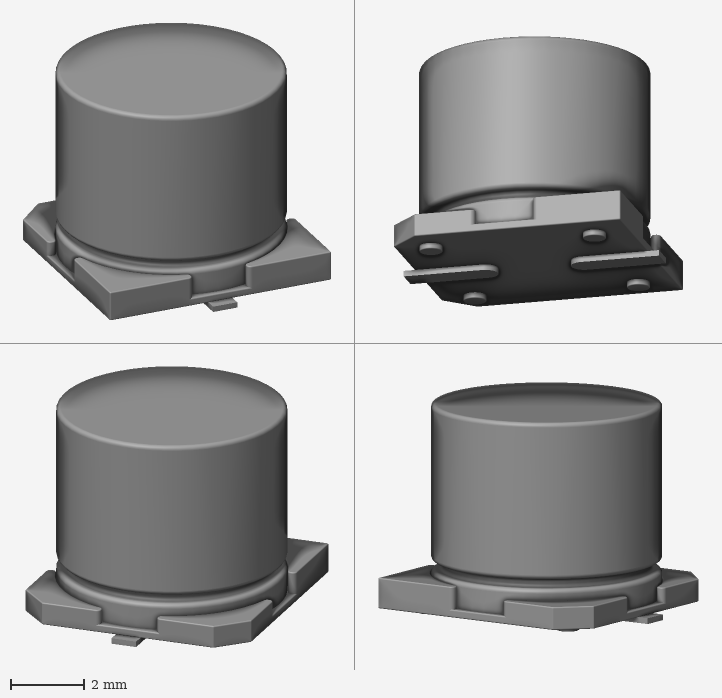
import cadquery as cq
import math

can_radius = 6.3 / 2
neck_radius = 5.67 / 2
can_top = 5.7
rim_radius = 0.12
groove_center = 1.24
neck_land_height = 0.065
bead_radius = 0.13
groove_fillet = 0.09

base_width = 6.6
base_bottom = 0.16
floor_top = 0.375
low_lug_top = 0.79
high_lug_top = 1.0
corner_chamfer = 0.8
window_width = 1.64
lug_bore_radius = 3.17
lug_end_radius = 0.12
edge_radius = 0.035

terminal_span = 7.2
terminal_width = 0.72
terminal_gap = 2.07
foot_diameter = 0.63
foot_spacing = 4.61
foot_edge_radius = 0.03


def arc_point(center, radius, angle):
    """Point on a circle of the (radius, height) plane at an angle in degrees."""
    turn = math.radians(angle)
    return (center[0] + radius * math.cos(turn), center[1] + radius * math.sin(turn))


def make_can():
    land_bottom = groove_center - neck_land_height / 2
    land_top = groove_center + neck_land_height / 2
    lower_wall = land_bottom - groove_fillet
    upper_wall = land_top + groove_fillet
    lower_bead = (can_radius - bead_radius, lower_wall - bead_radius)
    upper_bead = (can_radius - bead_radius, upper_wall + bead_radius)
    lower_fillet = (neck_radius + groove_fillet, land_bottom)
    upper_fillet = (neck_radius + groove_fillet, land_top)
    can_bottom = base_bottom + edge_radius
    rim = (can_radius - rim_radius, can_top - rim_radius)
    return (
        cq.Workplane("XZ")
        .moveTo(0, can_bottom)
        .lineTo(can_radius, can_bottom)
        .lineTo(can_radius, lower_bead[1])
        .threePointArc(arc_point(lower_bead, bead_radius, 45), (lower_bead[0], lower_wall))
        .lineTo(lower_fillet[0], lower_wall)
        .threePointArc(arc_point(lower_fillet, groove_fillet, 225), (neck_radius, land_bottom))
        .lineTo(neck_radius, land_top)
        .threePointArc(arc_point(upper_fillet, groove_fillet, 135), (upper_fillet[0], upper_wall))
        .lineTo(upper_bead[0], upper_wall)
        .threePointArc(arc_point(upper_bead, bead_radius, -45), (can_radius, upper_bead[1]))
        .lineTo(can_radius, rim[1])
        .threePointArc(arc_point(rim, rim_radius, 45), (rim[0], can_top))
        .lineTo(0, can_top)
        .close()
        .revolve(360, (0, 0, 0), (0, 1, 0))
    )


def square_plan(bottom, height):
    """Square prism with both -X corners cut off and all upright corners slightly rounded."""
    return (
        cq.Workplane("XY", origin=(0, 0, bottom))
        .rect(base_width, base_width)
        .extrude(height)
        .edges("|Z and <X")
        .chamfer(corner_chamfer)
        .edges("|Z")
        .fillet(edge_radius)
    )


def make_floor():
    """Thin slab under the can, rounded along its top and bottom edges."""
    slab = square_plan(base_bottom, floor_top - base_bottom)
    return slab.faces("<Z or >Z").edges().fillet(edge_radius)


def make_lug(x_side, y_side, top):
    """Corner lug hugging the can, with rounded ends beside the windows."""
    bottom = base_bottom + edge_radius
    height = top - bottom
    quadrant = (
        cq.Workplane("XY", origin=(0, 0, bottom))
        .moveTo(x_side * window_width / 2, y_side * window_width / 2)
        .rect(x_side * base_width, y_side * base_width, centered=False)
        .extrude(height)
    )
    bore = cq.Workplane("XY", origin=(0, 0, bottom)).circle(lug_bore_radius).extrude(height)
    lug = square_plan(bottom, height).intersect(quadrant).cut(bore)

    end_edges = lug.edges("|Z").filter(
        lambda edge: min(abs(edge.Center().x), abs(edge.Center().y)) < window_width / 2 + edge_radius
    )
    lug = lug.newObject(end_edges.vals()).fillet(lug_end_radius)
    return lug.faces(">Z").edges().fillet(edge_radius)


def make_base():
    base = make_floor()
    for x_side, top in ((-1, low_lug_top), (1, high_lug_top)):
        for y_side in (-1, 1):
            base = base.union(make_lug(x_side, y_side, top))
    return base


def make_terminal(side):
    """Flat lead along X with a round inner end, reaching past the base edge."""
    end_radius = terminal_width / 2
    arc_x = terminal_gap / 2 + end_radius
    return (
        cq.Workplane("XY")
        .moveTo(side * terminal_span / 2, -end_radius)
        .lineTo(side * arc_x, -end_radius)
        .threePointArc((side * terminal_gap / 2, 0), (side * arc_x, end_radius))
        .lineTo(side * terminal_span / 2, end_radius)
        .close()
        .extrude(base_bottom)
    )


def make_feet():
    return (
        cq.Workplane("XY")
        .rect(foot_spacing, foot_spacing, forConstruction=True)
        .vertices()
        .circle(foot_diameter / 2)
        .extrude(base_bottom)
        .faces("<Z")
        .edges()
        .fillet(foot_edge_radius)
    )


result = make_base().union(make_can()).union(make_feet())
for side in (-1, 1):
    result = result.union(make_terminal(side))